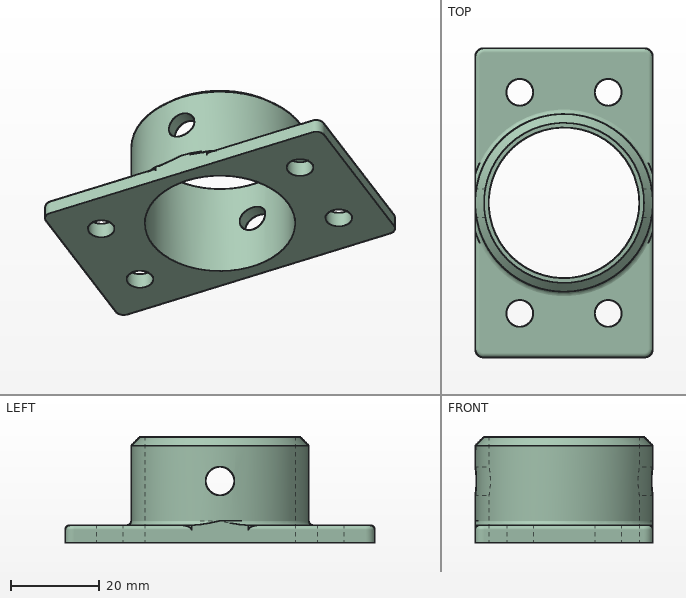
import cadquery as cq
import math

plate_width = 40.2
plate_length = 70.0
plate_thickness = 4.0
corner_radius = 2.0
plate_edge_round = 1.0

socket_diameter = plate_width
bore_diameter = 34.0
total_height = 24.0
rim_chamfer = 2.0
foot_fillet = 1.0

mount_hole_diameter = 6.0
mount_spacing_x = 20.0
mount_spacing_y = 50.0
pin_hole_diameter = 6.4
pin_hole_height = 14.0


def make_plate():
    plate = cq.Workplane("XY").box(plate_width, plate_length, plate_thickness, centered=(True, True, False))
    plate = plate.edges("|Z").fillet(corner_radius)
    return plate.faces(">Z").edges().fillet(plate_edge_round)


def make_socket():
    """Solid socket cylinder with a chamfered rim."""
    socket = cq.Workplane("XY").circle(socket_diameter / 2).extrude(total_height)
    return socket.faces(">Z").chamfer(rim_chamfer)


def make_foot():
    """Concave fillet round the socket's base, trimmed flush with the plate's long sides.

    It reaches down to where the plate's edge round starts, so it has no overhang there.
    """
    radius = socket_diameter / 2
    outer_radius = radius + foot_fillet
    foot_bottom = plate_thickness - plate_edge_round
    foot_top = plate_thickness + foot_fillet
    arc_offset = foot_fillet * math.sqrt(0.5)
    arc_middle = (outer_radius - arc_offset, foot_top - arc_offset)
    profile = (
        cq.Workplane("XZ")
        .moveTo(0, foot_bottom)
        .lineTo(outer_radius, foot_bottom)
        .lineTo(outer_radius, plate_thickness)
        .threePointArc(arc_middle, (radius, foot_top))
        .lineTo(0, foot_top)
        .close()
    )
    foot = profile.revolve(360, (0, 0, 0), (0, 1, 0))
    plate_sides = cq.Workplane("XY").rect(plate_width, plate_length).extrude(total_height)
    return foot.intersect(plate_sides)


def make_bore():
    return cq.Workplane("XY").circle(bore_diameter / 2).extrude(total_height)


def make_mount_holes():
    holes = cq.Workplane("XY").rarray(mount_spacing_x, mount_spacing_y, 2, 2)
    return holes.circle(mount_hole_diameter / 2).extrude(plate_thickness)


def make_pin_hole():
    """Cross hole along X through both walls of the socket."""
    hole = cq.Workplane("YZ").center(0, pin_hole_height).circle(pin_hole_diameter / 2)
    return hole.extrude(socket_diameter, both=True)


body = make_plate().union(make_socket()).union(make_foot())
result = body.cut(make_bore()).cut(make_mount_holes()).cut(make_pin_hole())